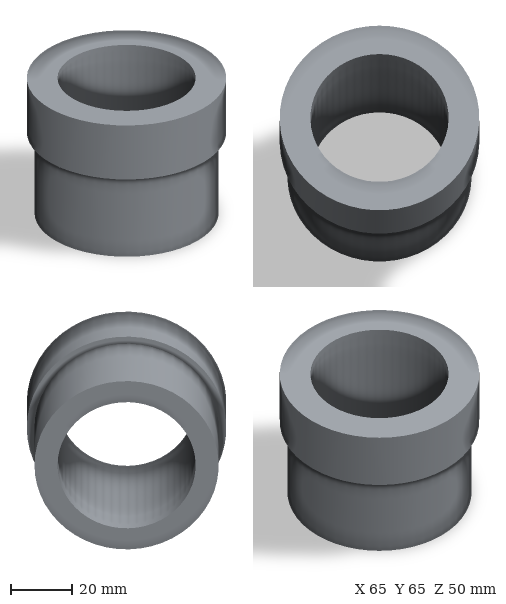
import cadquery as cq

collar_diameter = 65.0
collar_height = 20.0
sleeve_diameter = 60.0
bore_diameter = 45.0
total_height = 50.0
sleeve_height = total_height - collar_height

sleeve = cq.Workplane("XY").circle(sleeve_diameter / 2).extrude(sleeve_height)

bushing = sleeve.faces(">Z").workplane().circle(collar_diameter / 2).extrude(collar_height)

result = bushing.faces(">Z").workplane().circle(bore_diameter / 2).cutThruAll()